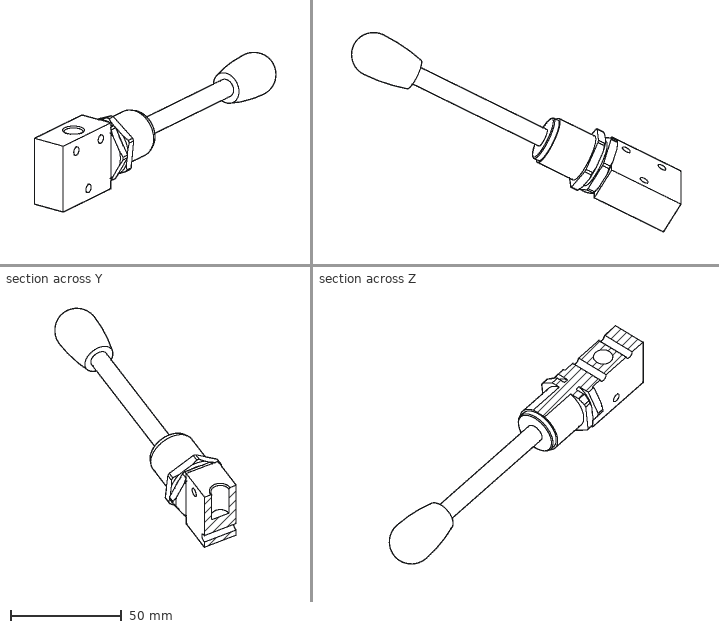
import cadquery as cq
import math

OVERALL_LENGTH = 164.2

BLOCK_WIDTH = 16.3
BLOCK_LENGTH = 35.8
BLOCK_HEIGHT = 32.0
MOUNT_HOLE_DIAMETER = 4.0
MOUNT_HOLE_Z = 10.5
UPPER_HOLE_SPACING = 18.4
LOWER_HOLE_Y = 19.0
PORT_DIAMETER = 8.5
PORT_MOUTH_DIAMETER = 9.9
PORT_MOUTH_ANGLE = 45.0
PORT_Y = 18.5
PORT_DEPTH = BLOCK_HEIGHT / 2

HEX_FLATS = 26.0
HEX_CORNER_DIAMETER = 29.2
HEX_FACE_DIAMETER = 27.0
HEX_THICKNESS = 4.0
HEX_CHAMFER_ANGLE = 30.0
NUT_GAP = 2.0
NUT_Y = BLOCK_LENGTH + HEX_THICKNESS + NUT_GAP
NUT_TURN = 5.8

BUSHING_DIAMETER = 22.2
BUSHING_END_Y = 64.0
COLLAR_DIAMETER = 20.4
COLLAR_END_Y = 66.8
COLLAR_CHAMFER = 0.5

ROD_DIAMETER = 8.4
KNOB_RADIUS = 10.0
KNOB_BASE_RADIUS = 7.2
KNOB_BASE_Y = 133.4


def cylinder_along_y(diameter, start_y, end_y):
    """Cylinder on the lever axis between two Y positions."""
    face = cq.Workplane("XZ", origin=(0, start_y, 0)).circle(diameter / 2)
    return face.extrude(start_y - end_y)


def hexagon(start_y):
    """Hexagon with a corner on X, its corners turned down and its -Y face chamfered."""
    end_y = start_y + HEX_THICKNESS
    prism = (
        cq.Workplane("XZ", origin=(0, start_y, 0))
        .polygon(6, HEX_FLATS / math.cos(math.radians(30)))
        .extrude(-HEX_THICKNESS)
    )
    corner_radius = HEX_CORNER_DIAMETER / 2
    face_radius = HEX_FACE_DIAMETER / 2
    chamfer_depth = (corner_radius - face_radius) * math.tan(math.radians(HEX_CHAMFER_ANGLE))
    outline = (
        cq.Workplane("XY")
        .moveTo(0, start_y)
        .lineTo(face_radius, start_y)
        .lineTo(corner_radius, start_y + chamfer_depth)
        .lineTo(corner_radius, end_y)
        .lineTo(0, end_y)
        .close()
    )
    turned_blank = outline.revolve(360, (0, 0, 0), (0, 1, 0))
    return prism.intersect(turned_blank)


def make_block():
    """Block with three mounting holes across it and a blind port in its top face."""
    block = cq.Workplane("XY", origin=(0, BLOCK_LENGTH / 2, 0)).box(BLOCK_WIDTH, BLOCK_LENGTH, BLOCK_HEIGHT)
    mount_holes = (
        cq.Workplane("YZ")
        .pushPoints(
            [
                (LOWER_HOLE_Y - UPPER_HOLE_SPACING / 2, MOUNT_HOLE_Z),
                (LOWER_HOLE_Y + UPPER_HOLE_SPACING / 2, MOUNT_HOLE_Z),
                (LOWER_HOLE_Y, -MOUNT_HOLE_Z),
            ]
        )
        .circle(MOUNT_HOLE_DIAMETER / 2)
        .extrude(BLOCK_WIDTH, both=True)
    )
    port_mouth_depth = (PORT_MOUTH_DIAMETER - PORT_DIAMETER) / 2
    top_face = cq.Workplane("XY", origin=(0, PORT_Y, BLOCK_HEIGHT / 2))
    port_bore = top_face.circle(PORT_DIAMETER / 2).extrude(-PORT_DEPTH)
    port_mouth = top_face.circle(PORT_MOUTH_DIAMETER / 2).extrude(-port_mouth_depth, taper=PORT_MOUTH_ANGLE)
    return block.cut(mount_holes).cut(port_bore).cut(port_mouth)


def make_locknut():
    """Hexagon around the bushing, with a corner NUT_TURN degrees from +Z towards +X."""
    nearest_corner_angle = 30.0
    return hexagon(NUT_Y).rotate((0, 0, 0), (0, 1, 0), NUT_TURN - nearest_corner_angle)


def make_valve_body():
    """Block, hexagon flange, bushing, locknut and end collar in one piece."""
    flange = hexagon(BLOCK_LENGTH)
    bushing = cylinder_along_y(BUSHING_DIAMETER, BLOCK_LENGTH, BUSHING_END_Y)
    collar = cylinder_along_y(COLLAR_DIAMETER, BUSHING_END_Y, COLLAR_END_Y)
    collar = collar.faces(">Y").edges().chamfer(COLLAR_CHAMFER)
    return make_block().union(flange).union(bushing).union(make_locknut()).union(collar)


def make_lever_rod():
    """Plain round rod between the collar face and the knob base."""
    return cylinder_along_y(ROD_DIAMETER, COLLAR_END_Y, KNOB_BASE_Y)


def make_knob():
    """Knob with a barrel flank, tangent to its hemispherical end."""
    knob_centre_y = OVERALL_LENGTH - KNOB_RADIUS
    arc_middle = KNOB_RADIUS * math.sqrt(0.5)
    flank_length = knob_centre_y - KNOB_BASE_Y
    flank_inset = KNOB_RADIUS - KNOB_BASE_RADIUS
    flank_radius = (flank_length**2 + flank_inset**2) / (2 * flank_inset)
    flank_middle_y = knob_centre_y - flank_length / 2
    flank_middle_inset = flank_radius - math.sqrt(flank_radius**2 - (flank_length / 2) ** 2)
    profile = (
        cq.Workplane("XY")
        .moveTo(0, KNOB_BASE_Y)
        .lineTo(KNOB_BASE_RADIUS, KNOB_BASE_Y)
        .threePointArc((KNOB_RADIUS - flank_middle_inset, flank_middle_y), (KNOB_RADIUS, knob_centre_y))
        .threePointArc((arc_middle, knob_centre_y + arc_middle), (0, OVERALL_LENGTH))
        .close()
    )
    return profile.revolve(360, (0, 0, 0), (0, 1, 0))


valve_body = make_valve_body()
lever_rod = make_lever_rod()
knob = make_knob()

result = cq.Compound.makeCompound([valve_body.val(), lever_rod.val(), knob.val()])